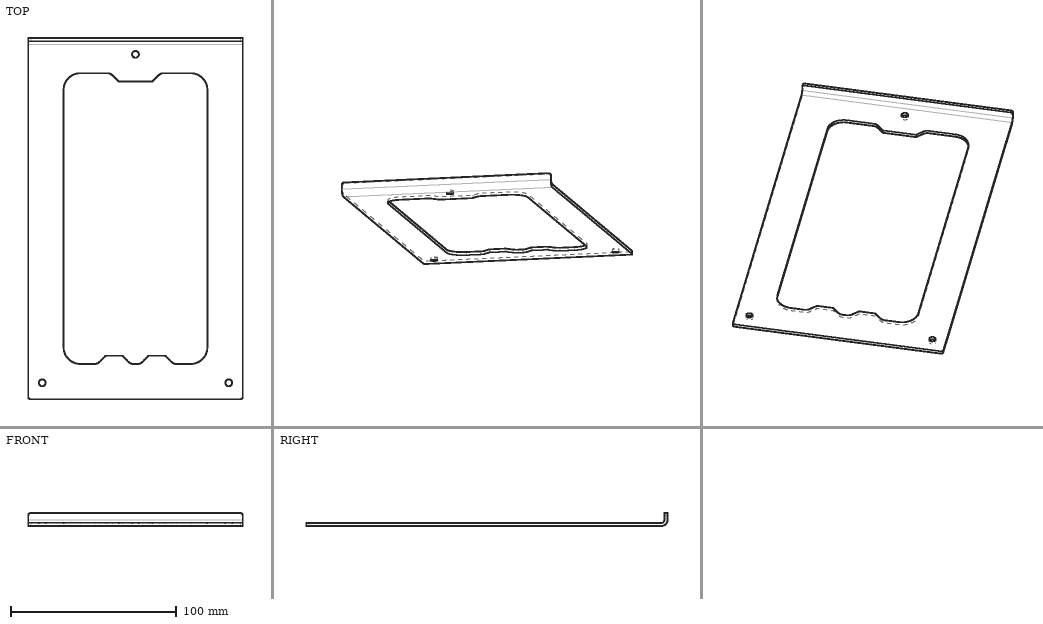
import cadquery as cq

WIDTH = 130.0
LENGTH = 219.0
HEIGHT = 8.0
SHEET = 2.0
BEND_INNER_RADIUS = 2.0
BEND_OUTER_RADIUS = BEND_INNER_RADIUS + SHEET
CORNER_RADIUS = 1.5

WINDOW_MARGIN = 21.5
WINDOW_WIDTH = WIDTH - 2 * WINDOW_MARGIN
WINDOW_LENGTH = LENGTH - 2 * WINDOW_MARGIN
WINDOW_RADIUS = 10.0

TAB_DEPTH = 5.0
REAR_TAB_TIP_WIDTH = 20.5
FRONT_TAB_TIP_WIDTH = 10.0
FRONT_TAB_OFFSET = 13.0
TAB_ROOT_RADIUS = 4.0
FRONT_TAB_TIP_RADIUS = 1.0

HOLE_DIAMETER = 4.0
HOLE_END_MARGIN = 10.0
HOLE_SIDE_MARGIN = 8.5

FRONT_Y = -LENGTH / 2
REAR_Y = LENGTH / 2
WINDOW_END_Y = WINDOW_LENGTH / 2

TOLERANCE = 0.01


def make_bent_sheet():
    """Flat plate with a short flange turned up along its rear edge."""
    inner_y = REAR_Y - SHEET
    sheet = (
        cq.Workplane("YZ")
        .moveTo(FRONT_Y, 0)
        .lineTo(REAR_Y - BEND_OUTER_RADIUS, 0)
        .radiusArc((REAR_Y, BEND_OUTER_RADIUS), -BEND_OUTER_RADIUS)
        .lineTo(REAR_Y, HEIGHT)
        .lineTo(inner_y, HEIGHT)
        .lineTo(inner_y, BEND_OUTER_RADIUS)
        .radiusArc((REAR_Y - BEND_OUTER_RADIUS, SHEET), BEND_INNER_RADIUS)
        .lineTo(FRONT_Y, SHEET)
        .close()
        .extrude(WIDTH / 2, both=True)
    )
    sheet = sheet.faces("<Y").edges("|Z").fillet(CORNER_RADIUS)
    return sheet.faces(">Z").edges("|Y").fillet(CORNER_RADIUS)


def make_tab(center_x, tip_width, end):
    """Trapezoid on a window end; end is +1 at the rear and -1 at the front."""
    half_tip = tip_width / 2
    half_root = half_tip + TAB_DEPTH
    root_y = end * WINDOW_END_Y
    tip_y = end * (WINDOW_END_Y - TAB_DEPTH)
    return (
        cq.Workplane("XY")
        .moveTo(center_x - half_root, root_y)
        .lineTo(center_x - half_tip, tip_y)
        .lineTo(center_x + half_tip, tip_y)
        .lineTo(center_x + half_root, root_y)
        .close()
        .extrude(SHEET)
    )


def upright_edges_at(shape, y_position):
    """Upright edges at one Y position, without the window's own corners."""
    reach = FRONT_TAB_OFFSET + FRONT_TAB_TIP_WIDTH / 2 + TAB_DEPTH + TOLERANCE
    return shape.edges("|Z").filter(
        lambda edge: abs(edge.Center().y - y_position) < TOLERANCE
        and abs(edge.Center().x) < reach
    )


def make_window():
    """Cutter for the window: a rounded rectangle less the tabs.

    All tab roots are rounded, and so are the tips of the front tabs.
    """
    window = (
        cq.Workplane("XY")
        .rect(WINDOW_WIDTH, WINDOW_LENGTH)
        .extrude(SHEET)
        .edges("|Z")
        .fillet(WINDOW_RADIUS)
    )
    window = window.cut(make_tab(0, REAR_TAB_TIP_WIDTH, 1))
    for side in (-1, 1):
        window = window.cut(make_tab(side * FRONT_TAB_OFFSET, FRONT_TAB_TIP_WIDTH, -1))
    for end_y in (-WINDOW_END_Y, WINDOW_END_Y):
        window = upright_edges_at(window, end_y).fillet(TAB_ROOT_RADIUS)
    return upright_edges_at(window, -WINDOW_END_Y + TAB_DEPTH).fillet(FRONT_TAB_TIP_RADIUS)


def make_holes():
    """Cutters for one hole at the rear centre and two in the front corners."""
    rear_hole = (0, REAR_Y - HOLE_END_MARGIN)
    corner_x = WIDTH / 2 - HOLE_SIDE_MARGIN
    corner_y = FRONT_Y + HOLE_END_MARGIN
    return (
        cq.Workplane("XY")
        .pushPoints([rear_hole, (-corner_x, corner_y), (corner_x, corner_y)])
        .circle(HOLE_DIAMETER / 2)
        .extrude(SHEET)
    )


result = make_bent_sheet().cut(make_window()).cut(make_holes())